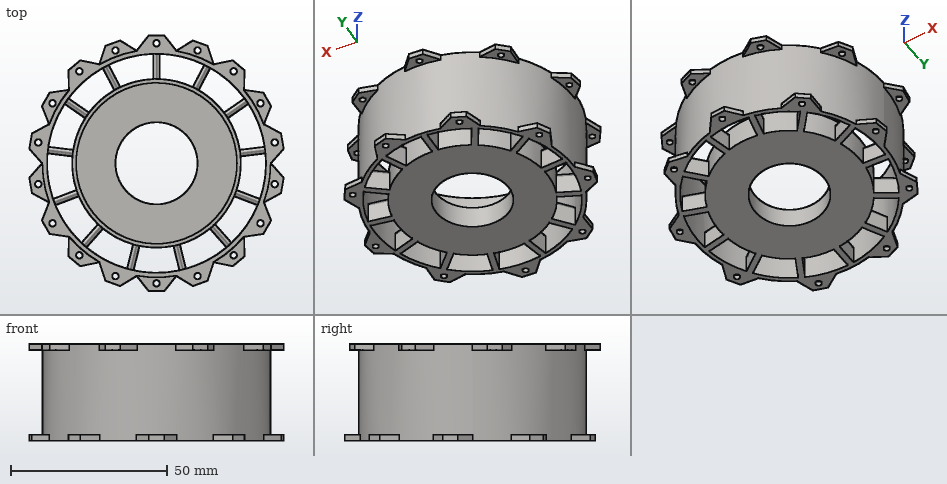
import cadquery as cq

drum_height = 31.0
drum_outer_diameter = 73.0
drum_inner_diameter = 70.0
base_height = 8.0

hub_outer_diameter = 54.0
hub_recess_diameter = 51.5
hub_bore_diameter = 26.2
hub_rim_height = 2.0

spoke_count = 13
spoke_width = 2.2
spoke_edge_radius = 1.0
spoke_overlap = 0.5

tabs_per_ring = 9
tab_thickness = 2.0
tab_tip_radius = 40.915
tab_tip_width = 5.0
tab_base_radius = 35.5
tab_base_width = 13.6
tab_hole_diameter = 2.0
tab_hole_radius = 38.4

tab_pitch = 360.0 / tabs_per_ring
spoke_pitch = 360.0 / spoke_count
top_tab_start = 90.0
bottom_tab_start = top_tab_start + tab_pitch / 2
spoke_start = 90.0

drum_inner_radius = drum_inner_diameter / 2
hub_outer_radius = hub_outer_diameter / 2


def ring(outer_diameter, inner_diameter, height):
    """Tube about the Z axis, standing on Z = 0."""
    return cq.Workplane("XY").circle(outer_diameter / 2).circle(inner_diameter / 2).extrude(height)


def make_hub():
    """Thick disk with a central bore and a thin raised rim."""
    disk = ring(hub_outer_diameter, hub_bore_diameter, base_height)
    rim = ring(hub_outer_diameter, hub_recess_diameter, base_height + hub_rim_height)
    return disk.union(rim)


def make_spoke(angle):
    """Radial web with rounded upper edges."""
    inner_end = hub_outer_radius - spoke_overlap
    outer_end = drum_inner_radius + spoke_overlap
    spoke = cq.Workplane("XY").box(
        outer_end - inner_end, spoke_width, base_height, centered=(False, True, False)
    )
    spoke = spoke.edges("|X and >Z").fillet(spoke_edge_radius)
    return spoke.translate((inner_end, 0, 0)).rotate((0, 0, 0), (0, 0, 1), angle)


def make_tab(angle, bottom_z):
    """Tapered lug with a screw hole, reaching outwards from the drum wall."""
    outline = [
        (tab_base_radius, -tab_base_width / 2),
        (tab_tip_radius, -tab_tip_width / 2),
        (tab_tip_radius, tab_tip_width / 2),
        (tab_base_radius, tab_base_width / 2),
    ]
    tab = cq.Workplane("XY").polyline(outline).close().extrude(tab_thickness)
    hole = cq.Workplane("XY").center(tab_hole_radius, 0).circle(tab_hole_diameter / 2)
    tab = tab.cut(hole.extrude(tab_thickness))
    return tab.translate((0, 0, bottom_z)).rotate((0, 0, 0), (0, 0, 1), angle)


result = ring(drum_outer_diameter, drum_inner_diameter, drum_height)
result = result.union(make_hub())

for index in range(spoke_count):
    result = result.union(make_spoke(spoke_start + index * spoke_pitch))

for index in range(tabs_per_ring):
    turn = index * tab_pitch
    result = result.union(make_tab(bottom_tab_start + turn, 0))
    result = result.union(make_tab(top_tab_start + turn, drum_height - tab_thickness))